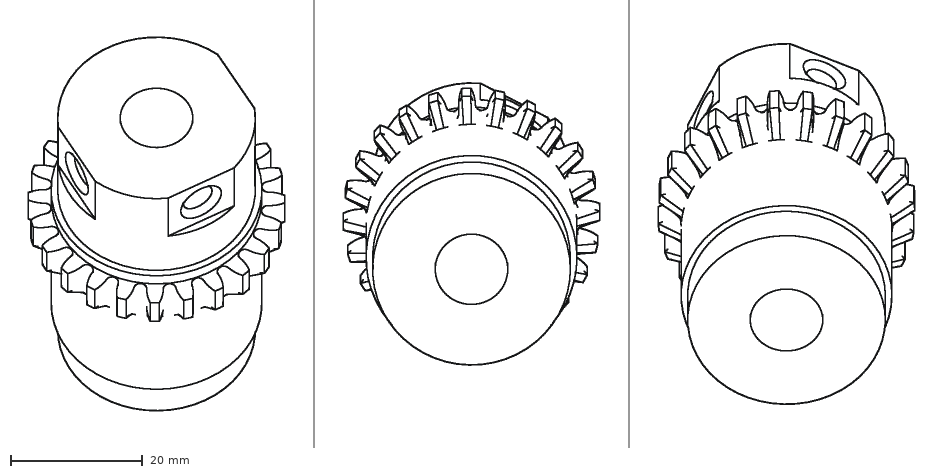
import cadquery as cq
import math

height = 55.9
bore_diameter = 11.0
journal_diameter = 30.0
body_diameter = 32.0

body_bottom = 7.1
collar_top = 37.0

tooth_count = 24
tip_diameter = 39.0
root_diameter = 32.25
gear_top = 34.9
gear_face_bottom = 29.95
gear_bottom = 26.3
tip_width = 1.4
pitch_width = 2.35
base_width = 2.5
pitch_diameter = 36.0
root_fillet = 0.7
foot_depth = 0.55

flat_distance = 13.85
flat_height = 10.0
blind_hole_diameter = 5.0
countersink_diameter = 7.05
blind_hole_drop = 5.05
blind_hole_depth = 6.0
flat_directions = (-90, 0, 90)

tip_radius = tip_diameter / 2
root_radius = root_diameter / 2
body_radius = body_diameter / 2
blind_hole_z = height - blind_hole_drop


def cylinder(diameter, bottom, top):
    return cq.Workplane("XY").workplane(offset=bottom).circle(diameter / 2).extrude(top - bottom)


def make_sleeve():
    journal = cylinder(journal_diameter, 0, height)
    body = cylinder(body_diameter, body_bottom, collar_top)
    root_band = cylinder(root_diameter, gear_face_bottom, gear_top)
    cone_height = gear_face_bottom - gear_bottom
    cone_base = cq.Vector(0, 0, gear_bottom)
    root_cone = cq.Solid.makeCone(body_radius, root_radius, cone_height, cone_base)
    return journal.union(body).union(cq.Workplane(root_cone)).union(root_band)


def tooth_points():
    """Corner and mid-arc points of half a tooth along +X, from root to tip centre."""
    half_base = base_width / 2
    half_foot = half_base + root_fillet
    half_tip = tip_width / 2
    fillet_top_x = root_radius + root_fillet
    fillet_inset = root_fillet * math.sqrt(0.5)
    return [
        (math.sqrt(root_radius**2 - half_foot**2), half_foot),
        (fillet_top_x - fillet_inset, half_foot - fillet_inset),
        (fillet_top_x, half_base),
        (pitch_diameter / 2, pitch_width / 2),
        (math.sqrt(tip_radius**2 - half_tip**2), half_tip),
        (tip_radius, 0),
    ]


def onto_body(point):
    """Move a point along its radius onto the body surface."""
    scale = body_radius / math.hypot(*point)
    return (point[0] * scale, point[1] * scale)


def tooth_wire(half_points, z):
    """Closed tooth outline at height z, with its foot buried in the sleeve."""
    mirrored = [(x, -y) for x, y in half_points]
    outline = mirrored + half_points[-2::-1]
    foot_x = half_points[0][0] - foot_depth
    foot_y = half_points[0][1]
    wire = cq.Workplane("XY").workplane(offset=z).moveTo(foot_x, -foot_y).lineTo(*outline[0])
    for middle, end in zip(outline[1::2], outline[2::2]):
        wire = wire.threePointArc(middle, end)
    return wire.lineTo(foot_x, foot_y).close()


def make_tooth():
    """Upright tooth with a lower end that fades into the body surface."""
    full = tooth_points()
    faded = [onto_body(point) for point in full]
    upright = tooth_wire(full, gear_face_bottom).extrude(gear_top - gear_face_bottom)
    runout = cq.Solid.makeLoft(
        [tooth_wire(faded, gear_bottom).val(), tooth_wire(full, gear_face_bottom).val()], True
    )
    return upright.union(cq.Workplane(runout))


def make_teeth():
    tooth = make_tooth().val()
    axis_start = cq.Vector(0, 0, 0)
    axis_end = cq.Vector(0, 0, 1)
    return [
        tooth.rotate(axis_start, axis_end, index * 360 / tooth_count)
        for index in range(tooth_count)
    ]


def make_flat_cutter():
    """Material removed beyond the flat on the +X side."""
    depth = journal_diameter / 2
    return (
        cq.Workplane("XY").workplane(offset=height - flat_height)
        .center(flat_distance + depth / 2, 0).rect(depth, journal_diameter).extrude(flat_height)
    )


def make_blind_hole():
    """Blind hole in the +X flat, with a 90 degree countersink."""
    hole_radius = blind_hole_diameter / 2
    countersink_radius = countersink_diameter / 2
    countersink_depth = countersink_radius - hole_radius
    hole_end = flat_distance - blind_hole_depth
    half_section = [
        (hole_end, blind_hole_z),
        (flat_distance, blind_hole_z),
        (flat_distance, blind_hole_z + countersink_radius),
        (flat_distance - countersink_depth, blind_hole_z + hole_radius),
        (hole_end, blind_hole_z + hole_radius),
    ]
    axis_start = (0, blind_hole_z, 0)
    axis_end = (1, blind_hole_z, 0)
    return cq.Workplane("XZ").polyline(half_section).close().revolve(360, axis_start, axis_end)


result = make_sleeve()
for tooth in make_teeth():
    result = result.union(cq.Workplane(tooth))

flat_with_hole = make_flat_cutter().union(make_blind_hole())
for direction in flat_directions:
    result = result.cut(flat_with_hole.rotate((0, 0, 0), (0, 0, 1), direction))

result = result.cut(cylinder(bore_diameter, 0, height))